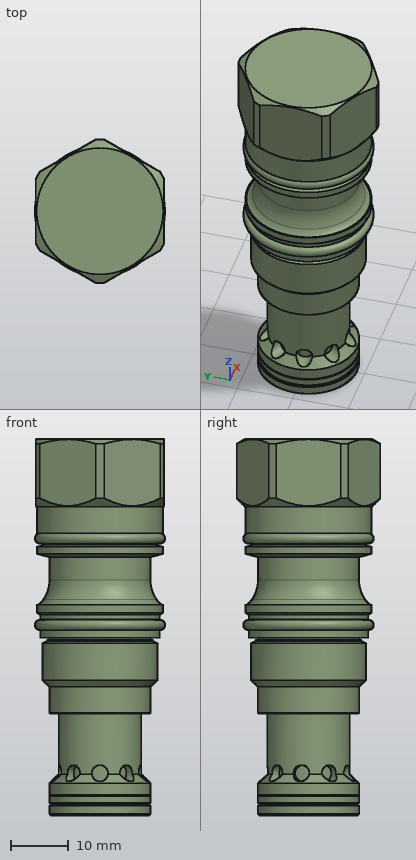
import cadquery as cq
import math

seal_outer_radius = 11.275
seal_section_radius = 0.89
seal_section_diameter = 2 * seal_section_radius
seal_centre_radius = seal_outer_radius - seal_section_radius
groove_floor_radius = seal_centre_radius - seal_section_radius

overall_height = 65.07
hex_sides = 6
hex_across_flats = 22.2
hex_corner_radius = 12.42
hex_bottom_z = 53.3
hex_top_chamfer_angle = 30
hex_bottom_chamfer_angle = 45

flange_radius = 10.92
upper_lip_radius = 9.65
neck_radius = 8.75
lower_land_radius = 10.35
relief_radius = 8.8
relief_lip_radius = 9.15
shoulder_radius = 9.96
nose_radius = 8.77
stem_radius = 7.15
nose_groove_radius = 8.5

upper_groove_top_z = 48.74
upper_groove_bottom_z = upper_groove_top_z - seal_section_diameter
upper_lip_bottom_z = 46.78
middle_flange_top_z = 46.4
middle_flange_bottom_z = 45.2
neck_top_z = 44.6
neck_bottom_z = 40.7
lower_flange_top_z = 36.4
lower_flange_bottom_z = 35.05
lower_land_top_z = 34.65
lower_groove_top_z = 33.9
lower_groove_clearance = 0.1
lower_groove_bottom_z = lower_groove_top_z - lower_groove_clearance - seal_section_diameter
lower_land_bottom_z = 30.7
relief_bottom_z = 30.34
relief_lip_bottom_z = 30.14
shoulder_top_z = 29.76
shoulder_bottom_z = 23.4
collar_top_z = 22.25
collar_bottom_z = 17.55
collar_chamfer = 0.2
stem_bottom_z = 7.15
nose_top_z = 5.55
band_groove_top_z = 3.58
band_top_z = 3.38
band_bottom_z = 2.2
tip_groove_top_z = 1.95
tip_top_z = 1.73
tip_chamfer_height = 0.3
tip_chamfer_width = 0.35

flare_radius = 6.05
flare_bottom_z = 37.4
flange_rim_width = 0.2

port_count = 9
port_diameter = 2.8
port_centre_z = 7.3
port_floor_radius = 5.6
first_port_angle = -90


def revolve_profile(profile):
    """Turn a closed profile, drawn in radius and height, about the Z axis."""
    return profile.close().revolve(360, (0, 0, 0), (0, 1, 0))


def make_hex_head():
    """Hexagon head with rounded corners, chamfered by a cone at each end."""
    corner_width = hex_corner_radius - flange_radius
    top_chamfer = corner_width * math.tan(math.radians(hex_top_chamfer_angle))
    bottom_chamfer = corner_width * math.tan(math.radians(hex_bottom_chamfer_angle))
    prism = (
        cq.Workplane("XY")
        .workplane(offset=hex_bottom_z)
        .polygon(hex_sides, hex_across_flats, circumscribed=True)
        .extrude(overall_height - hex_bottom_z)
    )
    envelope = revolve_profile(
        cq.Workplane("XZ")
        .moveTo(0, hex_bottom_z)
        .lineTo(flange_radius, hex_bottom_z)
        .lineTo(hex_corner_radius, hex_bottom_z + bottom_chamfer)
        .lineTo(hex_corner_radius, overall_height - top_chamfer)
        .lineTo(flange_radius, overall_height)
        .lineTo(0, overall_height)
    )
    return prism.intersect(envelope)


def flare_offset(drop):
    """Radial growth of the flare at a given drop below the end of the neck."""
    return flare_radius - math.sqrt(flare_radius**2 - drop**2)


def make_turned_body():
    """Everything below the hexagon, turned as one profile from the top down."""
    flare_height = neck_bottom_z - flare_bottom_z
    flare_middle = (neck_radius + flare_offset(flare_height / 2), neck_bottom_z - flare_height / 2)
    flare_end = (neck_radius + flare_offset(flare_height), flare_bottom_z)
    flange_seat = (flange_radius - flange_rim_width, lower_flange_top_z)
    return revolve_profile(
        cq.Workplane("XZ")
        .moveTo(0, hex_bottom_z)
        .lineTo(flange_radius, hex_bottom_z)
        .lineTo(flange_radius, upper_groove_top_z)
        .lineTo(groove_floor_radius, upper_groove_top_z)
        .lineTo(groove_floor_radius, upper_groove_bottom_z)
        .lineTo(upper_lip_radius, upper_groove_bottom_z)
        .lineTo(upper_lip_radius, upper_lip_bottom_z)
        .lineTo(flange_radius, middle_flange_top_z)
        .lineTo(flange_radius, middle_flange_bottom_z)
        .lineTo(neck_radius, neck_top_z)
        .lineTo(neck_radius, neck_bottom_z)
        .threePointArc(flare_middle, flare_end)
        .tangentArcPoint(flange_seat, relative=False)
        .lineTo(flange_radius, lower_flange_top_z)
        .lineTo(flange_radius, lower_flange_bottom_z)
        .lineTo(lower_land_radius, lower_land_top_z)
        .lineTo(lower_land_radius, lower_groove_top_z)
        .lineTo(groove_floor_radius, lower_groove_top_z)
        .lineTo(groove_floor_radius, lower_groove_bottom_z)
        .lineTo(lower_land_radius, lower_groove_bottom_z)
        .lineTo(lower_land_radius, lower_land_bottom_z)
        .lineTo(relief_radius, lower_land_bottom_z)
        .lineTo(relief_radius, relief_bottom_z)
        .lineTo(relief_lip_radius, relief_bottom_z)
        .lineTo(relief_lip_radius, relief_lip_bottom_z)
        .lineTo(shoulder_radius, shoulder_top_z)
        .lineTo(shoulder_radius, shoulder_bottom_z)
        .lineTo(nose_radius, collar_top_z)
        .lineTo(nose_radius, collar_bottom_z + collar_chamfer)
        .lineTo(nose_radius - collar_chamfer, collar_bottom_z)
        .lineTo(stem_radius, collar_bottom_z)
        .lineTo(stem_radius, stem_bottom_z)
        .lineTo(nose_radius, nose_top_z)
        .lineTo(nose_radius, band_groove_top_z)
        .lineTo(nose_groove_radius, band_groove_top_z)
        .lineTo(nose_radius, band_top_z)
        .lineTo(nose_radius, band_bottom_z)
        .lineTo(nose_groove_radius, tip_groove_top_z)
        .lineTo(nose_groove_radius, tip_top_z)
        .lineTo(nose_radius, tip_top_z)
        .lineTo(nose_radius, tip_chamfer_height)
        .lineTo(nose_radius - tip_chamfer_width, 0)
        .lineTo(0, 0)
    )


def make_ports():
    """Radial drillings that end on a common cylindrical floor."""
    floor_core = (
        cq.Workplane("XY")
        .workplane(offset=port_centre_z - port_diameter)
        .circle(port_floor_radius)
        .extrude(2 * port_diameter)
    )
    drill = (
        cq.Workplane("YZ")
        .center(0, port_centre_z)
        .circle(port_diameter / 2)
        .extrude(nose_radius)
        .cut(floor_core)
    )
    ports = []
    for index in range(port_count):
        angle = first_port_angle + index * 360 / port_count
        ports.append(drill.rotate((0, 0, 0), (0, 0, 1), angle))
    return ports


def make_cartridge():
    """Cartridge body: hexagon head, turned body and radial ports."""
    body = make_hex_head().union(make_turned_body())
    for port in make_ports():
        body = body.cut(port)
    return body


def make_o_ring(centre_z):
    """O-ring lying flat around the Z axis."""
    return cq.Workplane(
        cq.Solid.makeTorus(seal_centre_radius, seal_section_radius, cq.Vector(0, 0, centre_z))
    )


cartridge = make_cartridge()
o_rings = []
for groove_bottom_z in (upper_groove_bottom_z, lower_groove_bottom_z):
    o_rings.append(make_o_ring(groove_bottom_z + seal_section_radius))

result = cq.Compound.makeCompound([cartridge.val(), *[ring.val() for ring in o_rings]])